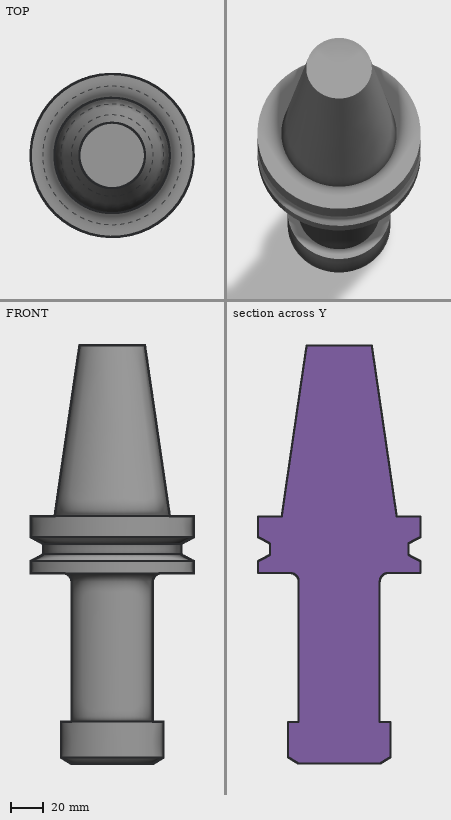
import cadquery as cq
import math

total_length = 256.5

gauge_diameter = 69.85
taper_ratio = 7 / 24
taper_length = 101.8
gauge_to_flange = 3.0

flange_diameter = 100.0
flange_end_from_gauge = 38.0
groove_center_from_gauge = 23.2
groove_floor_diameter = 85.0
groove_floor_width = 6.85
groove_mouth_width = 14.7
groove_corner_fillet = 0.7

shank_diameter = 50.0
root_fillet = 5.0

nut_diameter = 63.0
nut_length = 25.8
nut_end_diameter = 50.0
nut_chamfer_height = 4.0

flange_top = -gauge_to_flange
flange_bottom = -flange_end_from_gauge
nose = taper_length - total_length
nut_top = nose + nut_length


def revolve_about_z(profile):
    """Full turn of a closed half profile, drawn as (radius, Z), about the Z axis."""
    return profile.close().revolve(360, (0, 0), (0, 1))


def revolve_points(points):
    return revolve_about_z(cq.Workplane("XZ").polyline(points))


def make_taper():
    small_radius = (gauge_diameter - taper_length * taper_ratio) / 2
    base_radius = (gauge_diameter + gauge_to_flange * taper_ratio) / 2
    return revolve_points([
        (0, flange_top),
        (base_radius, flange_top),
        (small_radius, taper_length),
        (0, taper_length),
    ])


def make_flange():
    """Flange disc with a V groove whose two floor corners are rounded."""
    groove_center = -groove_center_from_gauge
    floor_radius = groove_floor_diameter / 2
    flange_radius = flange_diameter / 2
    flange = revolve_points([
        (0, flange_bottom),
        (flange_radius, flange_bottom),
        (flange_radius, groove_center - groove_mouth_width / 2),
        (floor_radius, groove_center - groove_floor_width / 2),
        (floor_radius, groove_center + groove_floor_width / 2),
        (flange_radius, groove_center + groove_mouth_width / 2),
        (flange_radius, flange_top),
        (0, flange_top),
    ])
    floor_corners = flange.edges(cq.selectors.RadiusNthSelector(0))
    return floor_corners.fillet(groove_corner_fillet)


def make_shank():
    """Shank that flares into the flange face through a concave fillet."""
    shank_radius = shank_diameter / 2
    flare_radius = shank_radius + root_fillet
    fillet_bottom = flange_bottom - root_fillet
    diagonal = root_fillet * math.sqrt(0.5)
    profile = (
        cq.Workplane("XZ")
        .moveTo(0, nut_top)
        .lineTo(shank_radius, nut_top)
        .lineTo(shank_radius, fillet_bottom)
        .threePointArc(
            (flare_radius - diagonal, fillet_bottom + diagonal),
            (flare_radius, flange_bottom),
        )
        .lineTo(0, flange_bottom)
    )
    return revolve_about_z(profile)


def make_nut():
    """Nut with a conical chamfer on its lower end."""
    chamfer_top = nose + nut_chamfer_height
    return revolve_points([
        (0, nose),
        (nut_end_diameter / 2, nose),
        (nut_diameter / 2, chamfer_top),
        (nut_diameter / 2, nut_top),
        (0, nut_top),
    ])


result = make_taper().union(make_flange()).union(make_shank()).union(make_nut())